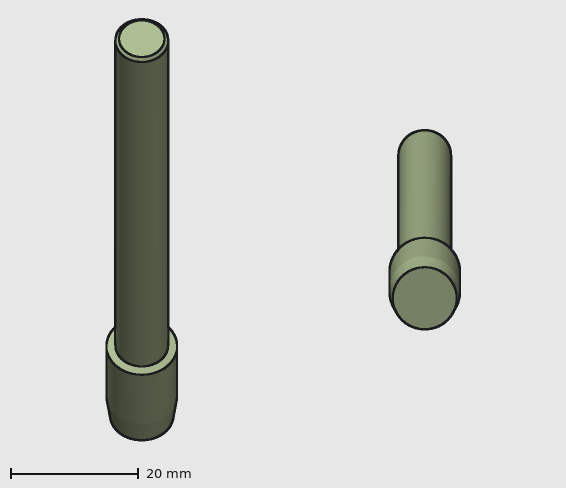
import cadquery as cq

total_length = 100.0
rod_radius = 4.15
rod_chamfer_width = 0.6
rod_chamfer_height = 0.5
head_radius = 5.55
head_length = 18.5
shoulder_drop = 0.3
nose_length = 5.0
nose_end_radius = 5.0


def make_head():
    """Cylindrical head with a conical nose and a conical shoulder."""
    profile = (
        cq.Workplane("XZ")
        .moveTo(0, head_length)
        .lineTo(rod_radius, head_length)
        .lineTo(head_radius, head_length - shoulder_drop)
        .lineTo(head_radius, nose_length)
        .lineTo(nose_end_radius, 0)
        .lineTo(0, 0)
        .close()
    )
    return profile.revolve(360, (0, 0, 0), (0, 1, 0))


def make_rod():
    """Plain rod standing on the head, chamfered at its free end."""
    rod = cq.Workplane("XY").workplane(offset=head_length).circle(rod_radius)
    rod = rod.extrude(total_length - head_length)
    return rod.faces(">Z").chamfer(rod_chamfer_height, rod_chamfer_width)


head = make_head()
rod = make_rod()

result = cq.Compound.makeCompound([head.val(), rod.val()])